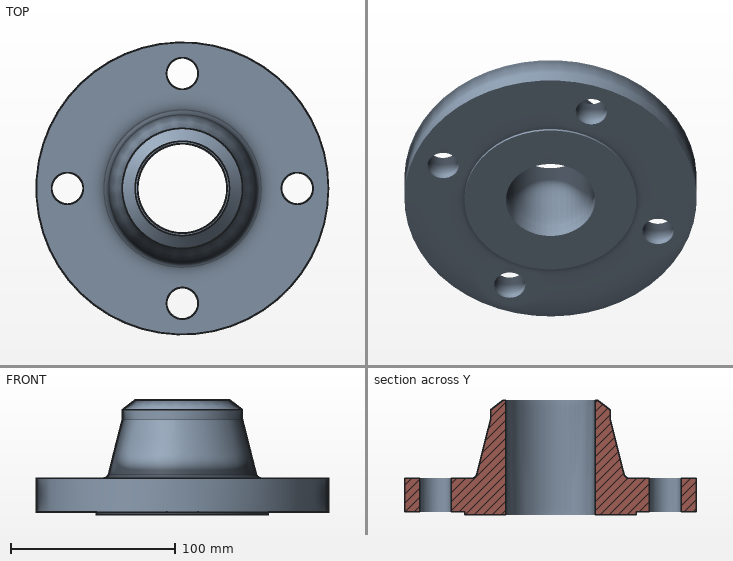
import cadquery as cq
import math

flange_diameter = 177.8
flange_thickness = 20.8
raised_face_diameter = 104.7
raised_face_height = 1.6

total_height = 69.9
bore_diameter = 54.2
neck_diameter = 73.0
neck_straight_length = 5.9
weld_land_width = 1.6
weld_bevel_angle = 37.5
hub_base_diameter = 91.0
hub_fillet_radius = 3.0

bolt_hole_count = 4
bolt_hole_diameter = 19.0
bolt_circle_diameter = 139.7

flange_radius = flange_diameter / 2
neck_radius = neck_diameter / 2
flange_top = raised_face_height + flange_thickness
weld_land_radius = bore_diameter / 2 + weld_land_width
bevel_height = (neck_radius - weld_land_radius) * math.tan(math.radians(weld_bevel_angle))
bevel_bottom = total_height - bevel_height
cone_top = bevel_bottom - neck_straight_length


def make_body():
    """Revolve the solid outline of plate, hub and neck about the Z axis."""
    outline = (
        cq.Workplane("XZ")
        .lineTo(raised_face_diameter / 2, 0)
        .lineTo(raised_face_diameter / 2, raised_face_height)
        .lineTo(flange_radius, raised_face_height)
        .lineTo(flange_radius, flange_top)
        .lineTo(hub_base_diameter / 2, flange_top)
        .lineTo(neck_radius, cone_top)
        .lineTo(neck_radius, bevel_bottom)
        .lineTo(weld_land_radius, total_height)
        .lineTo(0, total_height)
        .close()
    )
    return outline.revolve(360, (0, 0, 0), (0, 1, 0))


def fillet_hub_base(body):
    """Round the inside corner between the hub cone and the plate."""
    plate_top = body.faces("+Z").faces("<Z")
    return plate_top.edges(cq.selectors.RadiusNthSelector(0)).fillet(hub_fillet_radius)


def drill_through(body, diameter, points):
    """Cut vertical holes through the full height at the given XY points."""
    drills = (
        cq.Workplane("XY")
        .pushPoints(points)
        .circle(diameter / 2)
        .extrude(total_height)
    )
    return body.cut(drills)


bolt_circle_radius = bolt_circle_diameter / 2
bolt_angles = [2 * math.pi * i / bolt_hole_count for i in range(bolt_hole_count)]
bolt_points = [
    (bolt_circle_radius * math.cos(angle), bolt_circle_radius * math.sin(angle))
    for angle in bolt_angles
]

result = make_body()
result = fillet_hub_base(result)
result = drill_through(result, bore_diameter, [(0, 0)])
result = drill_through(result, bolt_hole_diameter, bolt_points)